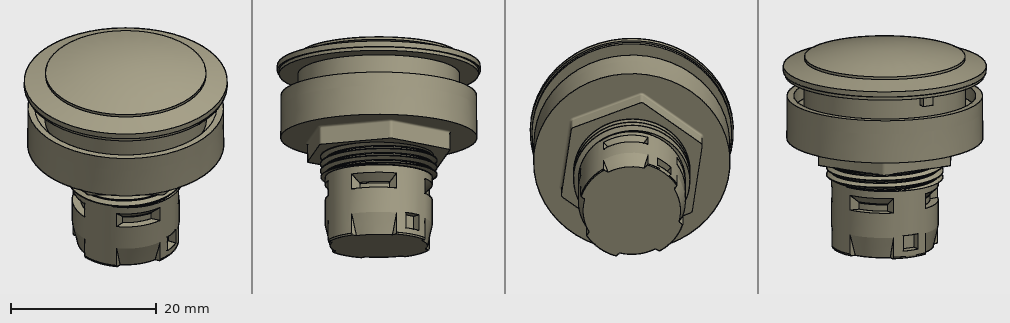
import cadquery as cq
import math

BARREL_TOP = 9.65
NUT_BOTTOM = 12.72
RING_BOTTOM = 15.3
GASKET_BOTTOM = 19.33
GASKET_TOP = 21.28
LIP_BOTTOM = 24.3
BEZEL_BOTTOM = 24.77
BEZEL_RIM = 25.53
BEZEL_TOP = 26.3
CAP_BOTTOM = 26.5
CAP_RIM = 26.87
TOTAL_HEIGHT = 28.35

BARREL_DIAMETER = 14.7
THREAD_DIAMETER = 16.0
RING_DIAMETER = 26.87
RING_BOTTOM_DIAMETER = 26.98
GASKET_BORE = 25.0
HOUSING_DIAMETER = 22.2
LIP_DIAMETER = 27.4
BEZEL_DIAMETER = 27.9
NECK_DIAMETER = 19.7
CAP_DIAMETER = 22.05

BARREL_RADIUS = BARREL_DIAMETER / 2
BARREL_CHAMFER_HEIGHT = 0.25
BARREL_CHAMFER_DEPTH = 0.09

NUT_ACROSS_FLATS = 18.15
NUT_CORNER_RADIUS = 0.5
NUT_ROOT_FILLET = 0.28

THREAD_PITCH = 1.0
THREAD_CREST_WIDTH = 0.09
THREAD_FLANK_ANGLE = 30.0
THREAD_FIRST_CREST = 9.95
THREAD_ROOT_OVERLAP = 0.09

PIN_REACH = 12.07
PIN_BOTTOM = 22.62
PIN_TOP = 24.12
PIN_WIDTH = PIN_TOP - PIN_BOTTOM

RECESS_ANGLES = (45, 135, 225, 315)
RECESS_MOUTH_WIDTH = 6.18
RECESS_FLOOR_WIDTH = 4.05
WINDOW_FLOOR_RADIUS = 6.2
WINDOW_BOTTOM = 6.52
WINDOW_FLOOR_TOP = 7.4
WINDOW_LIP_RADIUS = 6.3
WINDOW_LIP_TOP = 7.57
WINDOW_TOP = 8.62
NOTCH_TOP = 2.98
NOTCH_BOTTOM_RADIUS = 6.7

POCKET_WIDTH = 2.3
POCKET_BOTTOM = 1.02
POCKET_TOP = 3.2
POCKET_FLOOR = 6.1

CLEARANCE = 0.85


def revolve_profile(profile):
    """Turn a closed (radius, height) profile fully around the Z axis."""
    return profile.close().revolve(360, (0, 0, 0), (0, 1, 0))


def make_turned_body():
    """All round sections from the barrel up to the domed cap."""
    profile = (
        cq.Workplane("XZ")
        .lineTo(BARREL_RADIUS - BARREL_CHAMFER_DEPTH, 0)
        .lineTo(BARREL_RADIUS, BARREL_CHAMFER_HEIGHT)
        .lineTo(BARREL_RADIUS, RING_BOTTOM)
        .lineTo(RING_BOTTOM_DIAMETER / 2, RING_BOTTOM)
        .lineTo(RING_DIAMETER / 2, GASKET_BOTTOM)
        .lineTo(RING_DIAMETER / 2, GASKET_TOP)
        .lineTo(GASKET_BORE / 2, GASKET_TOP)
        .lineTo(GASKET_BORE / 2, GASKET_BOTTOM)
        .lineTo(HOUSING_DIAMETER / 2, GASKET_BOTTOM)
        .lineTo(HOUSING_DIAMETER / 2, LIP_BOTTOM)
        .lineTo(LIP_DIAMETER / 2, LIP_BOTTOM)
        .lineTo(LIP_DIAMETER / 2, BEZEL_BOTTOM)
        .lineTo(BEZEL_DIAMETER / 2, BEZEL_BOTTOM)
        .lineTo(BEZEL_DIAMETER / 2, BEZEL_RIM)
        .lineTo(NECK_DIAMETER / 2, BEZEL_TOP)
        .lineTo(NECK_DIAMETER / 2, CAP_BOTTOM)
        .lineTo(CAP_DIAMETER / 2, CAP_BOTTOM)
        .lineTo(CAP_DIAMETER / 2, CAP_RIM)
    )
    cap_radius = CAP_DIAMETER / 2
    dome_rise = TOTAL_HEIGHT - CAP_RIM
    dome_radius = (cap_radius**2 + dome_rise**2) / (2 * dome_rise)
    mid_angle = math.asin(cap_radius / dome_radius) / 2
    dome_middle = (
        dome_radius * math.sin(mid_angle),
        TOTAL_HEIGHT - dome_radius * (1 - math.cos(mid_angle)),
    )
    return revolve_profile(profile.threePointArc(dome_middle, (0, TOTAL_HEIGHT)))


def make_nut():
    """Hexagon with rounded corners, from its free face up to the ring."""
    across_corners = NUT_ACROSS_FLATS / math.cos(math.radians(30))
    return (
        cq.Workplane("XY", origin=(0, 0, NUT_BOTTOM))
        .transformed(rotate=(0, 0, 90))
        .polygon(6, across_corners)
        .extrude(RING_BOTTOM - NUT_BOTTOM)
        .edges("|Z")
        .fillet(NUT_CORNER_RADIUS)
    )


def select_nut_root():
    """Select the edges where the nut meets the ring, inside the ring's rim."""
    reach = (NUT_ACROSS_FLATS + RING_DIAMETER) / 4
    margin = NUT_ROOT_FILLET / 2
    return cq.selectors.BoxSelector(
        (-reach, -reach, RING_BOTTOM - margin),
        (reach, reach, RING_BOTTOM + margin),
        boundingbox=True,
    )


def make_thread():
    """Helical V ridge on the barrel, trimmed flat at the barrel top."""
    depth = (THREAD_DIAMETER - BARREL_DIAMETER) / 2 + THREAD_ROOT_OVERLAP
    root_radius = BARREL_RADIUS - THREAD_ROOT_OVERLAP
    half_crest = THREAD_CREST_WIDTH / 2
    half_root = half_crest + depth * math.tan(math.radians(THREAD_FLANK_ANGLE))

    start = THREAD_FIRST_CREST - THREAD_PITCH
    turns = math.ceil((NUT_BOTTOM - start) / THREAD_PITCH) + 1
    helix = cq.Wire.makeHelix(THREAD_PITCH, turns * THREAD_PITCH, root_radius)
    ridge = (
        cq.Workplane("XZ")
        .moveTo(root_radius, -half_root)
        .lineTo(THREAD_DIAMETER / 2, -half_crest)
        .lineTo(THREAD_DIAMETER / 2, half_crest)
        .lineTo(root_radius, half_root)
        .close()
        .sweep(cq.Workplane(obj=helix), isFrenet=True)
        .rotate((0, 0, 0), (0, 0, 1), 180)
        .translate((0, 0, start))
    )
    keep = (
        cq.Workplane("XY", origin=(0, 0, BARREL_TOP))
        .circle(THREAD_DIAMETER)
        .extrude(NUT_BOTTOM - BARREL_TOP)
    )
    return ridge.intersect(keep)


def make_pin():
    """Square pin that stands out from the housing."""
    return cq.Workplane("XY", origin=(0, 0, PIN_BOTTOM)).box(
        PIN_REACH, PIN_WIDTH, PIN_TOP - PIN_BOTTOM, centered=(False, True, False)
    )


def make_recess_wedge():
    """Prism along +X whose side walls narrow toward the axis."""
    mouth_half = RECESS_MOUTH_WIDTH / 2
    floor_half = RECESS_FLOOR_WIDTH / 2
    mouth_x = math.sqrt(BARREL_RADIUS**2 - mouth_half**2)
    floor_x = math.sqrt(WINDOW_FLOOR_RADIUS**2 - floor_half**2)
    wall_slope = (mouth_half - floor_half) / (mouth_x - floor_x)
    outer_x = BARREL_RADIUS + CLEARANCE
    outer_half = mouth_half + wall_slope * (outer_x - mouth_x)
    return (
        cq.Workplane("XY", origin=(0, 0, -CLEARANCE))
        .moveTo(floor_x, -floor_half)
        .lineTo(outer_x, -outer_half)
        .lineTo(outer_x, outer_half)
        .lineTo(floor_x, floor_half)
        .threePointArc((WINDOW_FLOOR_RADIUS, 0), (floor_x, -floor_half))
        .close()
        .extrude(BARREL_TOP + CLEARANCE)
    )


def make_recess_cutter():
    """Window with a sloped roof above a notch that deepens toward the bottom."""
    outer = BARREL_RADIUS + CLEARANCE
    window = revolve_profile(
        cq.Workplane("XZ")
        .moveTo(outer, WINDOW_BOTTOM)
        .lineTo(WINDOW_FLOOR_RADIUS - CLEARANCE, WINDOW_BOTTOM)
        .lineTo(WINDOW_FLOOR_RADIUS - CLEARANCE, WINDOW_FLOOR_TOP)
        .lineTo(WINDOW_FLOOR_RADIUS, WINDOW_FLOOR_TOP)
        .lineTo(WINDOW_LIP_RADIUS, WINDOW_LIP_TOP)
        .lineTo(BARREL_RADIUS, WINDOW_TOP)
        .lineTo(outer, WINDOW_TOP)
    )
    notch = revolve_profile(
        cq.Workplane("XZ")
        .moveTo(NOTCH_BOTTOM_RADIUS, 0)
        .lineTo(BARREL_RADIUS, NOTCH_TOP)
        .lineTo(outer, NOTCH_TOP)
        .lineTo(outer, 0)
    )
    wedge = make_recess_wedge()
    return wedge.intersect(window).union(wedge.intersect(notch))


def make_pockets():
    """Square pockets on opposite sides of the barrel."""
    depth = BARREL_RADIUS + CLEARANCE - POCKET_FLOOR
    middle = POCKET_FLOOR + depth / 2
    return (
        cq.Workplane("XY", origin=(0, 0, POCKET_BOTTOM))
        .pushPoints([(-middle, 0), (middle, 0)])
        .rect(depth, POCKET_WIDTH)
        .extrude(POCKET_TOP - POCKET_BOTTOM)
    )


result = make_turned_body().union(make_nut())
result = result.edges(select_nut_root()).fillet(NUT_ROOT_FILLET)
result = result.union(make_thread()).union(make_pin())
recess = make_recess_cutter()
for angle in RECESS_ANGLES:
    result = result.cut(recess.rotate((0, 0, 0), (0, 0, 1), angle))
result = result.cut(make_pockets())